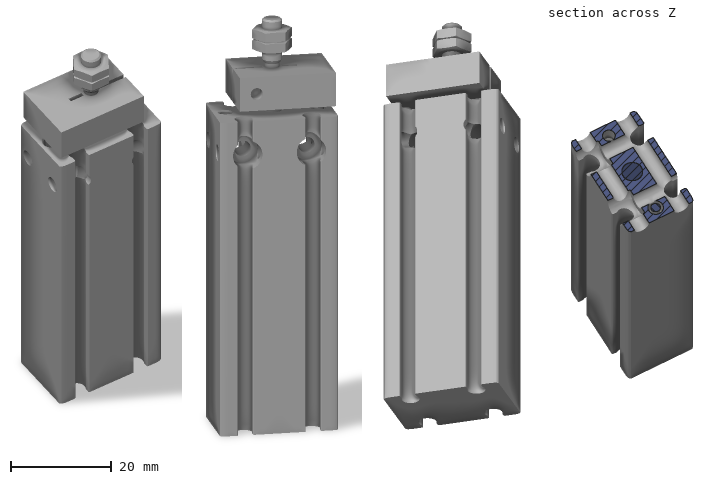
import cadquery as cq
import math

total_height = 84.0
housing_width = 15.0
housing_depth = 24.0
housing_height = 65.0
plate_gap = 2.0
plate_height = 7.0

plate_bottom = housing_height + plate_gap
plate_top = plate_bottom + plate_height
half_width = housing_width / 2
half_depth = housing_depth / 2

corner_arc_length = 1.2
corner_arc_drop = 0.2
corner_chamfer = 0.3

groove_diameter = 3.6
groove_offset = 6.9
groove_axis_depth = 2.0
groove_mouth_width = 3.1
groove_lip_chamfer = 0.2

mount_hole_diameter = 3.3
mount_hole_drop = 7.0
front_hole_offset = 4.5
side_hole_offset = 6.5
counterbore_diameter = 6.0
counterbore_depth = 5.0

top_hole_offset = 9.5
top_hole_depth = 10.1
guide_hole_diameter = 3.0
guide_hole_mouth = 3.6
rear_hole_diameter = 2.4
rear_hole_mouth = 3.0
guide_pin_diameter = 2.0

plate_width = 14.0
plate_front = 11.5
plate_back = 8.0
slit_width = 0.8
slit_front = 5.0
clamp_hole_diameter = 2.4
clamp_hole_offset = 4.5
clamp_hole_depth = 10.1
clamp_screw_recess = 2.5

rod_diameter = 4.0
rod_insertion = 10.1
neck_diameter = 3.0
neck_height = 0.8
runout_height = 0.75
rod_tip_chamfer = 0.3

nut_count = 2
nut_flats = 7.0
nut_height = 2.3
nut_face_diameter = 5.9
nut_corner_drop = 0.25
nut_stack_top = total_height - 1.9


def cylinder_x(diameter, start_x, length, y, z):
    """Cylinder along +X."""
    return cq.Workplane(cq.Solid.makeCylinder(
        diameter / 2, length, cq.Vector(start_x, y, z), cq.Vector(1, 0, 0)))


def cylinder_z(diameter, start_z, length, y=0.0):
    """Cylinder along +Z on the X = 0 plane."""
    return cq.Workplane("XY", origin=(0, y, start_z)).circle(diameter / 2).extrude(length)


def housing_blank():
    """Prism whose four corners are eased by an arc and a chamfer."""
    arc_end_x = half_width - corner_arc_drop
    arc_end_y = half_depth - corner_chamfer
    arc_start_y = arc_end_y - corner_arc_length
    quarter = (
        cq.Workplane("XY")
        .lineTo(half_width, 0)
        .lineTo(half_width, arc_start_y)
        .tangentArcPoint((arc_end_x, arc_end_y), relative=False)
        .lineTo(arc_end_x - corner_chamfer, half_depth)
        .lineTo(0, half_depth)
        .close()
        .extrude(housing_height)
    )
    right_half = quarter.union(quarter.mirror("XZ"))
    return right_half.union(right_half.mirror("YZ"))


def sensor_groove(side_x, side_y):
    """Round groove with a narrower mouth whose lips are chamfered at the side face."""
    face_x = side_x * half_width
    axis_x = side_x * (half_width - groove_axis_depth)
    axis_y = side_y * groove_offset
    lip_x = face_x - side_x * groove_lip_chamfer
    half_mouth = groove_mouth_width / 2
    half_lip = half_mouth + groove_lip_chamfer
    bore = cq.Workplane("XY").center(axis_x, axis_y).circle(groove_diameter / 2).extrude(housing_height)
    mouth = (
        cq.Workplane("XY")
        .polyline([
            (axis_x, axis_y - half_mouth),
            (lip_x, axis_y - half_mouth),
            (face_x, axis_y - half_lip),
            (face_x, axis_y + half_lip),
            (lip_x, axis_y + half_mouth),
            (axis_x, axis_y + half_mouth),
        ])
        .close()
        .extrude(housing_height)
    )
    return bore.union(mouth)


def top_hole(y, diameter, mouth_diameter):
    """Blind hole in the housing top with a chamfered mouth."""
    chamfer = (mouth_diameter - diameter) / 2
    profile = (
        cq.Workplane("XZ", origin=(0, y, housing_height))
        .lineTo(mouth_diameter / 2, 0)
        .lineTo(diameter / 2, -chamfer)
        .lineTo(diameter / 2, -top_hole_depth)
        .lineTo(0, -top_hole_depth)
        .close()
    )
    return profile.revolve(360, (0, 0), (0, 1))


def make_housing():
    body = housing_blank()
    for side_x in (-1, 1):
        for side_y in (-1, 1):
            body = body.cut(sensor_groove(side_x, side_y))

    hole_z = housing_height - mount_hole_drop
    front_holes = (
        cq.Workplane("XZ", origin=(0, half_depth, hole_z))
        .pushPoints([(-front_hole_offset, 0), (front_hole_offset, 0)])
        .circle(mount_hole_diameter / 2)
        .extrude(housing_depth)
    )
    body = body.cut(front_holes)
    for y in (-side_hole_offset, side_hole_offset):
        body = body.cut(cylinder_x(mount_hole_diameter, -half_width, housing_width, y, hole_z))
        body = body.cut(cylinder_x(counterbore_diameter, -half_width, counterbore_depth, y, hole_z))

    body = body.cut(top_hole(-top_hole_offset, guide_hole_diameter, guide_hole_mouth))
    body = body.cut(top_hole(top_hole_offset, rear_hole_diameter, rear_hole_mouth))
    return body.cut(cylinder_z(rod_diameter, housing_height - rod_insertion, rod_insertion))


def clamp_cylinder(start_depth, end_depth):
    """Cylinder on the clamp axis, between two depths below the -X face of the plate."""
    start_x = start_depth - plate_width / 2
    axis_z = plate_bottom + plate_height / 2
    return cylinder_x(clamp_hole_diameter, start_x, end_depth - start_depth, clamp_hole_offset, axis_z)


def make_plate():
    """Clamp plate, slit through the rod bore to its back edge, with its guide pin below."""
    center_y = (plate_back - plate_front) / 2
    plate = (
        cq.Workplane("XY", origin=(0, center_y, plate_bottom))
        .rect(plate_width, plate_front + plate_back)
        .extrude(plate_height)
    )
    slit = (
        cq.Workplane("XY", origin=(0, (plate_back - slit_front) / 2, plate_bottom))
        .rect(slit_width, plate_back + slit_front)
        .extrude(plate_height)
    )
    clamp_hole = clamp_cylinder(0, clamp_hole_depth)
    rod_bore = cylinder_z(rod_diameter, plate_bottom, plate_height)
    pin_bottom = housing_height - top_hole_depth
    guide_pin = cylinder_z(guide_pin_diameter, pin_bottom, plate_bottom - pin_bottom, -top_hole_offset)
    return plate.cut(slit).cut(clamp_hole).cut(rod_bore).union(guide_pin)


def make_clamp_screw():
    """Headless screw across the slit, sunk below the side face of the plate."""
    return clamp_cylinder(clamp_screw_recess, clamp_hole_depth)


def make_rod():
    """Rod turned to a neck above the plate, then a chamfered thread."""
    radius = rod_diameter / 2
    neck_radius = neck_diameter / 2
    neck_top = plate_top + neck_height
    profile = (
        cq.Workplane("XZ")
        .moveTo(0, housing_height - rod_insertion)
        .lineTo(radius, housing_height - rod_insertion)
        .lineTo(radius, plate_top)
        .lineTo(neck_radius, plate_top)
        .lineTo(neck_radius, neck_top)
        .lineTo(radius, neck_top + runout_height)
        .lineTo(radius, total_height - rod_tip_chamfer)
        .lineTo(radius - rod_tip_chamfer, total_height)
        .lineTo(0, total_height)
        .close()
    )
    return profile.revolve(360, (0, 0), (0, 1))


def make_nut(bottom_z):
    """Hexagon nut with corners along Y and both faces coned off."""
    corner_radius = nut_flats / math.sqrt(3)
    hexagon = (
        cq.Workplane("XY", origin=(0, 0, bottom_z))
        .transformed(rotate=(0, 0, 90))
        .polygon(6, 2 * corner_radius)
        .extrude(nut_height)
    )
    envelope = (
        cq.Workplane("XZ", origin=(0, 0, bottom_z))
        .lineTo(nut_face_diameter / 2, 0)
        .lineTo(corner_radius, nut_corner_drop)
        .lineTo(corner_radius, nut_height - nut_corner_drop)
        .lineTo(nut_face_diameter / 2, nut_height)
        .lineTo(0, nut_height)
        .close()
        .revolve(360, (0, 0), (0, 1))
    )
    return hexagon.intersect(envelope).cut(cylinder_z(rod_diameter, bottom_z, nut_height))


housing = make_housing()
plate = make_plate()
rod = make_rod()
clamp_screw = make_clamp_screw()
nuts = [make_nut(nut_stack_top - (index + 1) * nut_height) for index in range(nut_count)]

result = cq.Compound.makeCompound(
    [housing.val(), plate.val(), rod.val(), clamp_screw.val()] + [nut.val() for nut in nuts]
)